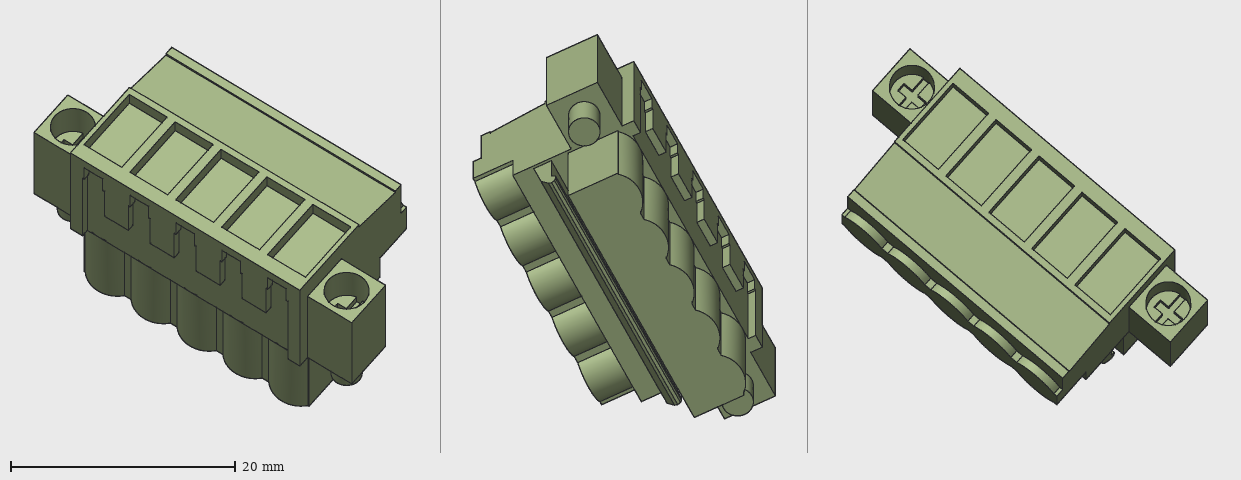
import cadquery as cq


total_width = 35.2
total_depth = 16.1
total_height = 20.05
poles = 5

housing_width = 25.4
housing_bottom = 8.38
top_deck_depth = 8.9
ramp_start_height = 19.7
ramp_end_height = 18.8
lip_front = 14.4
lip_height = 19.0
upper_back = 15.28
lower_back = 12.1

pitch = housing_width / poles
pole_positions = [(i - (poles - 1) / 2) * pitch for i in range(poles)]

collar_radius = 2.75
collar_height = 12.95
collar_band = 3.3

plug_side_margin = 0.25
plug_flat_front = 1.72
plug_tip = 0.75
plug_back = 6.7
lobe_half_width = 2.2

latch_front = 8.38
latch_back = 10.15
latch_knee_back = 9.4
latch_knee_height = 5.2
latch_neck_height = 5.42
latch_nose_front = 7.95
latch_nose_height = 5.0
latch_tip_back = 8.65
latch_tip_height = 4.2
latch_tip_front = 8.05
latch_lower_nose_height = 4.5
latch_bottom = 8.35
latch_bottom_height = 4.0

recess_depth = 0.75
keyway_narrow_width = 2.05
keyway_wide_width = 2.43
keyway_top = 19.0
keyway_step = 17.2
recess_full_top = 13.45

pocket_width = 4.2
pocket_front = 1.45
pocket_back = 8.27
actuator_drop = 1.37
actuator_height = 5.28

actuator_top = total_height - actuator_drop
actuator_bottom = actuator_top - actuator_height

flange_front = 1.15
flange_back = 6.25
flange_top = 17.8
flange_width = (total_width - housing_width) / 2
screw_x = (housing_width + flange_width) / 2
screw_y = (flange_front + flange_back) / 2
head_diameter = 4.0
head_drop = 3.52
head_height = 2.1
shank_diameter = 2.8
shank_bottom = 5.17
slot_depth = 0.7
slot_width = 0.67
cross_length = 2.6
cross_width = 0.85

sides = (-1, 1)
head_top = flange_top - head_drop
head_bottom = head_top - head_height


def box(x_min, x_max, y_min, y_max, z_min, z_max):
    """Axis-aligned block between the given limits."""
    size = (x_max - x_min, y_max - y_min, z_max - z_min)
    return cq.Workplane("XY").box(*size, centered=False).translate((x_min, y_min, z_min))


def centred_box(x, width, y_min, y_max, z_min, z_max):
    """Block of the given width centred on x."""
    return box(x - width / 2, x + width / 2, y_min, y_max, z_min, z_max)


def side_profile(points, width):
    """Extrude a Y-Z outline to the given width, centred on X = 0."""
    return cq.Workplane("YZ").polyline(points).close().extrude(width / 2, both=True)


def cylinder_up(x, y, diameter, z_min, z_max):
    """Vertical cylinder between two heights."""
    height = z_max - z_min
    return cq.Workplane("XY").center(x, y).circle(diameter / 2).extrude(height).translate((0, 0, z_min))


def housing_shell():
    """Main block with its flat top, sloped roof, back lip and stepped back."""
    return side_profile(
        [
            (0, housing_bottom),
            (0, total_height),
            (top_deck_depth, total_height),
            (top_deck_depth, ramp_start_height),
            (lip_front, ramp_end_height),
            (lip_front, lip_height),
            (upper_back, lip_height),
            (upper_back, collar_height),
            (lower_back, collar_height),
            (lower_back, housing_bottom),
        ],
        housing_width,
    )


def wire_collars():
    """Straight band with one round collar per pole, trimmed to the housing width."""
    band_bottom = collar_height - collar_band / 2
    band_top = collar_height + collar_band / 2
    collars = centred_box(0, housing_width, lower_back, total_depth, band_bottom, band_top)
    for x in pole_positions:
        collar = (
            cq.Workplane("XZ", origin=(x, lower_back, collar_height))
            .circle(collar_radius)
            .extrude(lower_back - total_depth)
        )
        collars = collars.union(collar)
    trim = centred_box(0, housing_width, lower_back, total_depth, housing_bottom, total_height)
    return collars.intersect(trim)


def plug():
    """Block below the housing whose front carries one rounded lobe per pole."""
    half_width = housing_width / 2 - plug_side_margin
    outline = cq.Workplane("XY").moveTo(-half_width, plug_back).lineTo(-half_width, plug_flat_front)
    for x in pole_positions:
        outline = (
            outline.lineTo(x - lobe_half_width, plug_flat_front)
            .threePointArc((x, plug_tip), (x + lobe_half_width, plug_flat_front))
        )
    outline = outline.lineTo(half_width, plug_flat_front).lineTo(half_width, plug_back).close()
    return outline.extrude(housing_bottom)


def latch():
    """Hooked latch bar below the housing, as wide as the plug."""
    return side_profile(
        [
            (latch_front, housing_bottom),
            (latch_front, latch_neck_height),
            (latch_nose_front, latch_nose_height),
            (latch_nose_front, latch_lower_nose_height),
            (latch_tip_front, latch_tip_height),
            (latch_bottom, latch_bottom_height),
            (latch_tip_back, latch_tip_height),
            (latch_knee_back, latch_knee_height),
            (latch_back, housing_bottom),
        ],
        housing_width - 2 * plug_side_margin,
    )


def front_recess():
    """Shallow recess in the front face, open at the bottom, with a stepped keyway above it per pole."""
    recess_width = (poles - 1) * pitch + keyway_wide_width
    recess = centred_box(0, recess_width, 0, recess_depth, housing_bottom, recess_full_top)
    for x in pole_positions:
        wide = centred_box(x, keyway_wide_width, 0, recess_depth, recess_full_top, keyway_step)
        narrow = centred_box(x, keyway_narrow_width, 0, recess_depth, keyway_step, keyway_top)
        recess = recess.union(wide).union(narrow)
    return recess


def flange(side):
    """Screw flange on one side of the housing: -1 for left, +1 for right."""
    inner = side * housing_width / 2
    outer = side * total_width / 2
    return box(min(inner, outer), max(inner, outer), flange_front, flange_back, housing_bottom, flange_top)


def screw_hole(x):
    """Counterbored hole for one flange screw."""
    counterbore = cylinder_up(x, screw_y, head_diameter, head_bottom, flange_top)
    bore = cylinder_up(x, screw_y, shank_diameter, housing_bottom, head_bottom)
    return counterbore.union(bore)


def actuator_pocket(x):
    """Rectangular pocket in the top, deep enough to hold its actuator."""
    return centred_box(x, pocket_width, pocket_front, pocket_back, actuator_bottom, total_height)


def make_housing():
    """Housing with collars, plug, latch and flanges, less its recess, pockets and screw holes."""
    housing = housing_shell().union(wire_collars()).union(plug()).union(latch())
    housing = housing.cut(front_recess())
    for x in pole_positions:
        housing = housing.cut(actuator_pocket(x))
    for side in sides:
        housing = housing.union(flange(side)).cut(screw_hole(side * screw_x))
    return housing


def make_actuator(x):
    """Block that fills the lower part of one pocket."""
    return centred_box(x, pocket_width, pocket_front, pocket_back, actuator_bottom, actuator_top)


def make_flange_screw(x):
    """Cylinder-head screw with a full-length slot crossed by a shorter, wider one."""
    head = cylinder_up(x, screw_y, head_diameter, head_bottom, head_top)
    shank = cylinder_up(x, screw_y, shank_diameter, shank_bottom, head_bottom)
    slot_bottom = head_top - slot_depth
    half_head = head_diameter / 2
    slot = centred_box(x, slot_width, screw_y - half_head, screw_y + half_head, slot_bottom, head_top)
    half_cross = cross_width / 2
    cross = centred_box(x, cross_length, screw_y - half_cross, screw_y + half_cross, slot_bottom, head_top)
    return head.union(shank).cut(slot).cut(cross)


housing = make_housing()
actuators = [make_actuator(x) for x in pole_positions]
flange_screws = [make_flange_screw(side * screw_x) for side in sides]

result = cq.Compound.makeCompound(
    [housing.val()]
    + [actuator.val() for actuator in actuators]
    + [screw.val() for screw in flange_screws]
)